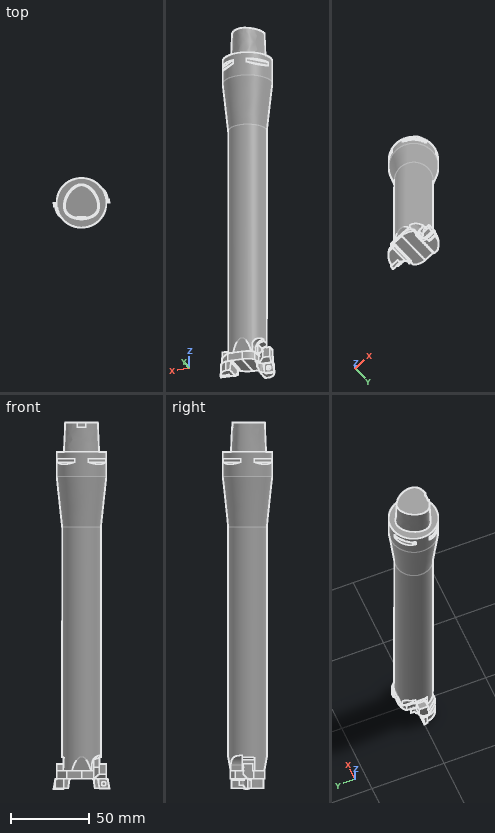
import cadquery as cq
import math


flange_radius = 16.0
flange_length = 15.5
cone_end_depth = 48.0
bar_radius = 12.5
tip_z = -216.0
bar_end_z = tip_z + 12.0

shank_length = 19.0
shank_base_radius = 11.35
shank_top_radius = 10.55
lobe_rise = 0.65
notch_width = 5.2
notch_height = 3.0
notch_depth = 1.0

groove_count = 4
groove_floor_distance = 14.0
groove_top_z = -4.2
groove_floor_end_z = -6.5
groove_bottom_z = -7.9

relief_top_z = tip_z + 21.0
relief_end_y = 10.9
slot_floor_x = 8.0
slot_front_y = -3.4
slot_back_y = 4.7
slot_floor_top_z = tip_z + 19.1
slot_top_z = tip_z + 20.6
flute_floor_x = 6.6
flute_radius = 6.0
flute_arc_z = tip_z + 15.8

plate_bottom_z = tip_z + 6.7
plate_nose_radius = 11.1
plate_front_x = 7.7
plate_back_y = 11.0
plate_back_x = 9.6
plate_flank_y = 4.0
slide_outer_x = 16.0
ear_top_z = tip_z + 16.3
ear_front_y = -2.7
ear_back_y = 3.4
leg_bottom_z = tip_z + 0.6
leg_back_y = 10.4
leg_back_x = 11.3
leg_outer_x = 16.8
leg_shoulder_y = 2.4
leg_flank_x = 15.4
leg_flank_y = 6.9
leg_inner_top_x = 6.9
leg_inner_chamfer = 0.8
leg_inner_bottom_x = 8.5
web_front_y = -5.2
web_wall_x = 8.2
web_radius = 3.0
chip_pocket_top_z = tip_z + 9.7
ear_step_z = tip_z + 14.0
ear_step_x = 11.3

rake_y = 0.0
tip_x = 18.0
insert_side = 6.35
insert_thickness = 2.38
insert_corner_angle = 80.0
insert_clearance_angle = 7.0
insert_hole_diameter = 2.8
second_insert_offset = 0.4

slide_angles = (180, 0)
insert_tip_heights = (tip_z, tip_z + second_insert_offset)


def box(x_range, y_range, z_range):
    """Box between the given limits on each axis."""
    size = [high - low for low, high in (x_range, y_range, z_range)]
    corner = (x_range[0], y_range[0], z_range[0])
    return cq.Workplane("XY").box(*size, centered=False).translate(corner)


def prism_along_y(outline, y_range):
    """Extrude a closed XZ outline between two Y positions."""
    length = y_range[1] - y_range[0]
    return outline.extrude(-length).translate((0, y_range[0], 0))


def turn(body, angle):
    """Rotate a body about the bar axis."""
    return body.rotate((0, 0, 0), (0, 0, 1), angle)


def lobed_wire(radius, z):
    """Three-lobed closed curve with one lobe pointing along +Y."""

    def point(fraction):
        angle = 2 * math.pi * fraction
        lobe_angle = 3 * (angle - math.pi / 2)
        reach = radius + lobe_rise * math.cos(lobe_angle)
        slope = -3 * lobe_rise * math.sin(lobe_angle)
        return (
            reach * math.cos(angle) - slope * math.sin(angle),
            reach * math.sin(angle) + slope * math.cos(angle),
            z,
        )

    return cq.Workplane("XY").parametricCurve(point, N=60).val()


def make_shank():
    """Tapered polygon shank with a notch at the top of its -Y side."""
    wires = [lobed_wire(shank_base_radius, 0), lobed_wire(shank_top_radius, shank_length)]
    shank = cq.Workplane("XY").newObject([cq.Solid.makeLoft(wires)])
    notch_floor_y = -(shank_top_radius - lobe_rise - notch_depth)
    notch = box(
        (-notch_width / 2, notch_width / 2),
        (-flange_radius, notch_floor_y),
        (shank_length - notch_height, shank_length),
    )
    return shank.cut(notch)


def make_gripper_groove():
    """Groove on the +X side with a flat floor and a sloping lower face."""
    outline = (
        cq.Workplane("XZ")
        .moveTo(groove_floor_distance, groove_top_z)
        .lineTo(flange_radius, groove_top_z)
        .lineTo(flange_radius, groove_bottom_z)
        .lineTo(groove_floor_distance, groove_floor_end_z)
        .close()
    )
    return prism_along_y(outline, (-flange_radius, flange_radius))


def make_face_relief():
    """Slanted flat on the +Y side, running out at the top."""
    return (
        cq.Workplane("YZ")
        .moveTo(bar_radius, relief_top_z)
        .lineTo(relief_end_y, bar_end_z)
        .lineTo(bar_radius, bar_end_z)
        .close()
        .extrude(bar_radius, both=True)
    )


def make_ear_slot():
    """Slot on the +X side that receives the ear of a slide, with a sloping upper end."""
    outline = (
        cq.Workplane("XZ")
        .moveTo(slot_floor_x, bar_end_z)
        .lineTo(slot_floor_x, slot_floor_top_z)
        .lineTo(bar_radius, slot_top_z)
        .lineTo(bar_radius, bar_end_z)
        .close()
    )
    return prism_along_y(outline, (slot_front_y, slot_back_y))


def make_flute():
    """Chip flute beside the slot, curving out at its upper end."""
    diagonal = flute_radius * math.sqrt(0.5)
    arc_center_x = flute_floor_x + flute_radius
    outline = (
        cq.Workplane("XZ")
        .moveTo(flute_floor_x, bar_end_z)
        .lineTo(flute_floor_x, flute_arc_z)
        .threePointArc(
            (arc_center_x - diagonal, flute_arc_z + diagonal),
            (arc_center_x, flute_arc_z + flute_radius),
        )
        .lineTo(arc_center_x, bar_end_z)
        .close()
    )
    return prism_along_y(outline, (-bar_radius, slot_front_y))


def make_bar():
    """Flange, cone and cylinder with the shank on top and reliefs at the lower end."""
    bar = (
        cq.Workplane("XZ")
        .moveTo(0, 0)
        .lineTo(flange_radius, 0)
        .lineTo(flange_radius, -flange_length)
        .lineTo(bar_radius, -cone_end_depth)
        .lineTo(bar_radius, bar_end_z)
        .lineTo(0, bar_end_z)
        .close()
        .revolve(360, (0, 0, 0), (0, 1, 0))
        .union(make_shank())
    )
    groove_step = 360 / groove_count
    for index in range(groove_count):
        bar = bar.cut(turn(make_gripper_groove(), groove_step * (index + 0.5)))
    for angle in slide_angles:
        for relief in (make_face_relief(), make_ear_slot(), make_flute()):
            bar = bar.cut(turn(relief, angle))
    return bar


def make_insert(tip_height):
    """Rhombic insert with its rake face toward -Y and its cutting corner at the lower outer end.

    Returns the solid blank, which shapes the pocket, and the insert with its screw hole.
    """
    corner = math.radians(insert_corner_angle)
    edge = insert_side / math.sin(corner)
    rise_x = edge * math.cos(corner)
    center_x = tip_x - (rise_x + edge) / 2
    center_z = tip_height + insert_side / 2
    blank = (
        cq.Workplane("XZ", origin=(0, rake_y, 0))
        .moveTo(tip_x, tip_height)
        .lineTo(tip_x - rise_x, tip_height + insert_side)
        .lineTo(tip_x - rise_x - edge, tip_height + insert_side)
        .lineTo(tip_x - edge, tip_height)
        .close()
        .extrude(-insert_thickness, taper=insert_clearance_angle)
    )
    hole = (
        cq.Workplane("XZ", origin=(0, rake_y, 0))
        .center(center_x, center_z)
        .circle(insert_hole_diameter / 2)
        .extrude(-insert_thickness)
    )
    return blank, blank.cut(hole)


def make_plate():
    """Upper plate of a slide, meeting the other slide at X = 0."""
    nose_y = -math.sqrt(plate_nose_radius**2 - plate_front_x**2)
    half_angle = math.asin(plate_front_x / plate_nose_radius) / 2
    nose_middle = (plate_nose_radius * math.sin(half_angle), -plate_nose_radius * math.cos(half_angle))
    return (
        cq.Workplane("XY", origin=(0, 0, plate_bottom_z))
        .moveTo(0, plate_back_y)
        .lineTo(plate_back_x, plate_back_y)
        .lineTo(slide_outer_x, plate_flank_y)
        .lineTo(slide_outer_x, ear_front_y)
        .lineTo(plate_front_x, ear_front_y)
        .lineTo(plate_front_x, nose_y)
        .threePointArc(nose_middle, (0, -plate_nose_radius))
        .close()
        .extrude(bar_end_z - plate_bottom_z)
    )


def make_ear():
    """Ear standing on the plate, stepped down next to the slot floor."""
    ear_y_range = (ear_front_y, ear_back_y)
    outer = box((ear_step_x, slide_outer_x), ear_y_range, (plate_bottom_z, ear_top_z))
    inner = box((slot_floor_x, ear_step_x), ear_y_range, (plate_bottom_z, ear_step_z))
    return outer.union(inner)


def make_leg():
    """Leg below the plate that carries the insert, with a web rounded into its rake side."""
    web_arc_x = web_wall_x + web_radius
    web_arc_y = rake_y - web_radius
    diagonal = web_radius * math.sqrt(0.5)
    plan = (
        cq.Workplane("XY", origin=(0, 0, leg_bottom_z))
        .moveTo(leg_inner_top_x, web_front_y)
        .lineTo(web_wall_x, web_front_y)
        .lineTo(web_wall_x, web_arc_y)
        .threePointArc((web_arc_x - diagonal, web_arc_y + diagonal), (web_arc_x, rake_y))
        .lineTo(leg_outer_x, rake_y)
        .lineTo(leg_outer_x, leg_shoulder_y)
        .threePointArc((leg_flank_x, leg_flank_y), (leg_back_x, leg_back_y))
        .lineTo(leg_inner_top_x, leg_back_y)
        .close()
        .extrude(plate_bottom_z - leg_bottom_z)
    )
    side = (
        cq.Workplane("XZ")
        .moveTo(leg_inner_top_x, plate_bottom_z)
        .lineTo(leg_inner_top_x + leg_inner_chamfer, plate_bottom_z - leg_inner_chamfer)
        .lineTo(leg_inner_bottom_x, leg_bottom_z)
        .lineTo(leg_outer_x, leg_bottom_z)
        .lineTo(leg_outer_x, plate_bottom_z)
        .close()
    )
    return plan.intersect(prism_along_y(side, (web_front_y, leg_back_y)))


def make_chip_pocket():
    """Sloping ceiling above the rake face of the insert."""
    return (
        cq.Workplane("YZ", origin=(plate_front_x, 0, 0))
        .moveTo(ear_front_y, chip_pocket_top_z)
        .lineTo(rake_y, plate_bottom_z)
        .lineTo(ear_front_y, plate_bottom_z)
        .close()
        .extrude(slide_outer_x - plate_front_x)
    )


def make_ear_relief():
    """Slanted recess in the front of the ear, deepest next to the bar axis."""
    return (
        cq.Workplane("XY", origin=(0, 0, plate_bottom_z))
        .moveTo(plate_front_x, ear_front_y)
        .lineTo(ear_step_x, ear_front_y)
        .lineTo(plate_front_x, rake_y)
        .close()
        .extrude(ear_step_z - plate_bottom_z)
    )


def make_slide(insert_blank):
    """Slide with an ear standing in the bar slot and a pocket that fits the insert."""
    return (
        make_plate()
        .union(make_ear())
        .union(make_leg())
        .cut(make_chip_pocket())
        .cut(make_ear_relief())
        .cut(insert_blank)
    )


bar = make_bar()
bodies = [bar.val()]
for angle, tip_height in zip(slide_angles, insert_tip_heights):
    blank, insert = make_insert(tip_height)
    slide = make_slide(blank)
    bodies.append(turn(slide, angle).val())
    bodies.append(turn(insert, angle).val())

result = cq.Compound.makeCompound(bodies)